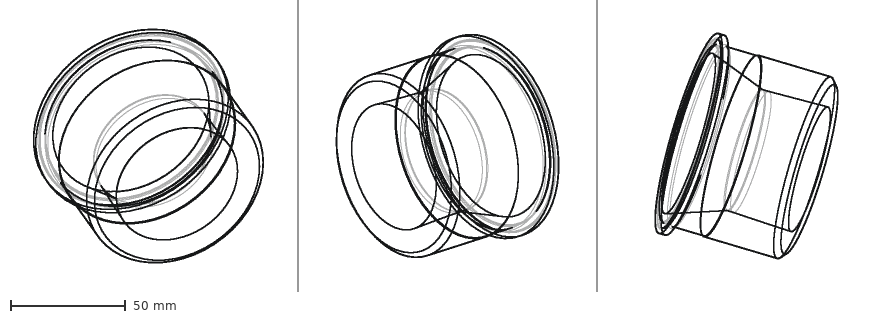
import cadquery as cq
import math

length = 55.55
flange_radius = 90.9 / 2

rim_width = 2.8
flange_back_x = 4.3
flange_back_radius = 41.8
neck_start_x = 5.2
neck_radius = 81.9 / 2
neck_blend_sag = 0.23

body_start_x = 19.3
body_radius = 82.55 / 2
step_length = 0.3
end_chamfer_length = 2.5
end_chamfer_depth = 2.7

bore_mouth_radius = 36.5
throat_radius = 54.9 / 2
throat_start_x = 25.7
throat_end_x = 28.55
throat_corner_radius = 1.6
pipe_taper = 1 / 16

groove_center_radius = 41.6
groove_floor_half_width = 2.3 / 2
groove_flank_width = 0.3
groove_lip_radius = 0.5
groove_flank_angle = math.radians(25)


def make_body():
    """Revolve the half section, drawn as (x, radius), about the X axis."""
    cone_half_angle = math.atan2(bore_mouth_radius - throat_radius, throat_start_x)
    tangent_length = throat_corner_radius * math.tan(cone_half_angle / 2)
    corner_start = (
        throat_start_x - tangent_length * math.cos(cone_half_angle),
        throat_radius + tangent_length * math.sin(cone_half_angle),
    )
    corner_end = (throat_start_x + tangent_length, throat_radius)
    corner_mid = (
        corner_end[0] - throat_corner_radius * math.sin(cone_half_angle / 2),
        throat_radius + throat_corner_radius * (1 - math.cos(cone_half_angle / 2)),
    )
    taper_end_radius = throat_radius + (length - throat_end_x) * pipe_taper / 2

    section = (
        cq.Workplane("XY")
        .moveTo(0, bore_mouth_radius)
        .lineTo(0, flange_radius)
        .lineTo(rim_width, flange_radius)
        .lineTo(flange_back_x, flange_back_radius)
        .sagittaArc((neck_start_x, neck_radius), -neck_blend_sag)
        .lineTo(body_start_x, neck_radius)
        .lineTo(body_start_x + step_length, body_radius)
        .lineTo(length - end_chamfer_length, body_radius)
        .lineTo(length, body_radius - end_chamfer_depth)
        .lineTo(length, taper_end_radius)
        .lineTo(throat_end_x, throat_radius)
        .lineTo(*corner_end)
        .threePointArc(corner_mid, corner_start)
        .close()
    )
    return section.revolve(360, (0, 0, 0), (1, 0, 0))


def make_groove():
    """Ring cutter: rounded lips, straight flanks and an arc floor tangent to the flanks."""
    sine = math.sin(groove_flank_angle)
    cosine = math.cos(groove_flank_angle)
    floor_radius = groove_floor_half_width / cosine

    lip_end_x = groove_lip_radius * (1 - sine)
    flank_end_x = lip_end_x + groove_flank_width / math.tan(groove_flank_angle)
    floor_x = flank_end_x + floor_radius * (1 - sine)
    flank_half_width = groove_floor_half_width + groove_flank_width
    mouth_half_width = flank_half_width + groove_lip_radius * cosine

    lip_turn = math.pi / 2 - groove_flank_angle
    lip_mid_x = groove_lip_radius * (1 - math.cos(lip_turn / 2))
    lip_mid_half_width = mouth_half_width - groove_lip_radius * math.sin(lip_turn / 2)

    section = (
        cq.Workplane("XY")
        .moveTo(0, groove_center_radius - mouth_half_width)
        .threePointArc(
            (lip_mid_x, groove_center_radius - lip_mid_half_width),
            (lip_end_x, groove_center_radius - flank_half_width),
        )
        .lineTo(flank_end_x, groove_center_radius - groove_floor_half_width)
        .threePointArc(
            (floor_x, groove_center_radius),
            (flank_end_x, groove_center_radius + groove_floor_half_width),
        )
        .lineTo(lip_end_x, groove_center_radius + flank_half_width)
        .threePointArc(
            (lip_mid_x, groove_center_radius + lip_mid_half_width),
            (0, groove_center_radius + mouth_half_width),
        )
        .close()
    )
    return section.revolve(360, (0, 0, 0), (1, 0, 0))


result = make_body().cut(make_groove())